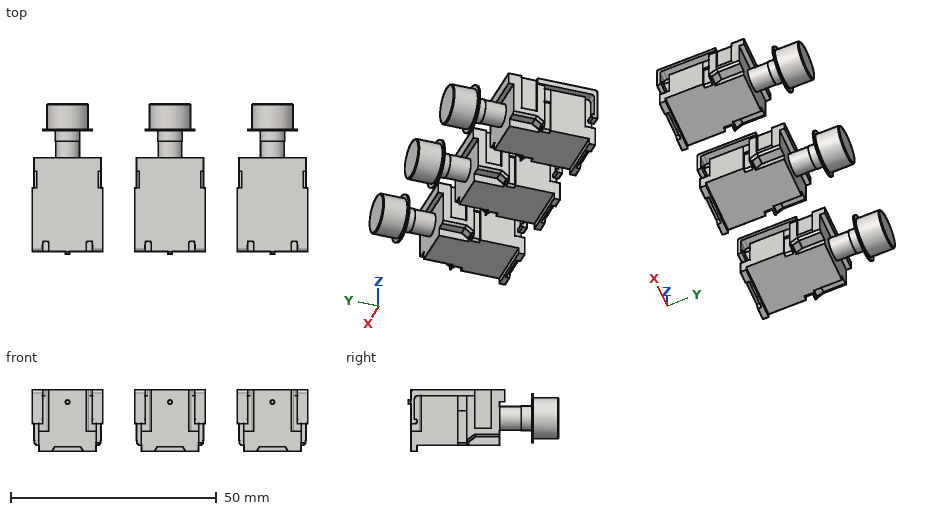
import cadquery as cq

TOTAL_LENGTH = 67.0
UNIT_COUNT = 3
UNIT_WIDTH = 17.2
UNIT_PITCH = (TOTAL_LENGTH - UNIT_WIDTH) / (UNIT_COUNT - 1)

TOP_Z = 15.0
PLATE_BOTTOM_Z = 13.55
BASE_Z = 1.5

PLATE_HALF = UNIT_WIDTH / 2
REAR_HALF = 8.2
BLOCK_HALF = 7.0
WEB_HALF = 4.55
KEEL_HALF = 5.35

BLOCK_FRONT_Y = 2.55
REAR_START_Y = 11.45
RIB_FRONT_Y = 13.55
RIB_BACK_Y = 14.1
PLATE_BACK_Y = 15.5
BODY_BACK_Y = 21.6
LIP_BACK_Y = 22.85

LEDGE_Z = 4.9
WEB_FILLET = 0.5

LIP_BOTTOM_Z = 12.05
SKIRT_Z = 3.55
SKIRT_SLOPE_BACK_Y = 15.75
SKIRT_SLOPE_FRONT_Z = 2.35
SKIRT_CHAMFER = 0.6
RIB_UNDERCUT = 0.4

NOTCH_STEP_Z = 9.9
NOTCH_UPPER_HALF = 6.9
NOTCH_FLOOR_HALF = 6.4

WINDOW_BACK_Y = 19.5
WINDOW_BOTTOM_Z = 5.55
WINDOW_DEPTH = 0.7

ARM_INNER_X = 6.0
ARM_BOTTOM_Z = 6.8
ARM_THICKNESS = 0.9
ARM_TOP_FILLET = 0.75
ARM_INNER_FILLET = 0.8
BEAD_TOP_Z = 7.85
BEAD_Y = 1.55
BEAD_MIDDLE_Z = 7.3
BEAD_BOTTOM_Y = 1.15
SLOT_CORNER_FILLET = 0.5

FOOT_DEPTH = 1.55
RECESS_BOTTOM_HALF = 3.8
RECESS_TOP_HALF = 3.15
RECESS_HEIGHT = 1.1
RECESS_DEPTH = 0.95

PIN_DIAMETER = 1.0
PIN_LENGTH = 0.6
PIN_Z = 12.0

BUTTON_Z = 8.05
SHAFT_DIAMETER = 5.8
COLLAR_DIAMETER = 6.0
FLANGE_DIAMETER = 12.0
CAP_DIAMETER = 10.05
COLLAR_START_Y = 26.9
FLANGE_START_Y = 29.35
CAP_START_Y = 29.75
CAP_END_Y = 35.9
CAP_CHAMFER = 0.3

SELECT_MARGIN = 0.1


def box(x0, x1, y0, y1, z0, z1):
    """Box between two opposite corners."""
    return cq.Workplane("XY").box(x1 - x0, y1 - y0, z1 - z0, centered=False).translate((x0, y0, z0))


def middle_box(half, y0, y1, z0, z1):
    """Box symmetric about X = 0."""
    return box(-half, half, y0, y1, z0, z1)


def both_sides(solid):
    """A feature together with its mirror image across X = 0."""
    return solid.union(solid.mirror("YZ"))


def cylinder(diameter, y0, y1, z):
    """Cylinder along Y."""
    return cq.Workplane("XZ", origin=(0, y0, z)).circle(diameter / 2).extrude(y0 - y1)


def rear_section():
    """Wide rear with a stepped underside, a chamfered skirt and a rear lip."""
    outline = [
        (REAR_START_Y, BASE_Z),
        (RIB_BACK_Y, BASE_Z),
        (RIB_BACK_Y, SKIRT_SLOPE_FRONT_Z),
        (SKIRT_SLOPE_BACK_Y, SKIRT_Z),
        (BODY_BACK_Y, SKIRT_Z),
        (BODY_BACK_Y, LIP_BOTTOM_Z),
        (LIP_BACK_Y, LIP_BOTTOM_Z),
        (LIP_BACK_Y, TOP_Z),
        (REAR_START_Y, TOP_Z),
    ]
    rear = cq.Workplane("YZ").polyline(outline).close().extrude(REAR_HALF, both=True)
    skirt_edges = cq.selectors.BoxSelector(
        (-2 * REAR_HALF, REAR_START_Y + SELECT_MARGIN, BASE_Z - SELECT_MARGIN),
        (2 * REAR_HALF, BODY_BACK_Y - SELECT_MARGIN, SKIRT_Z + SELECT_MARGIN),
    )
    rear = rear.faces("<X or >X").edges(skirt_edges).chamfer(SKIRT_CHAMFER)
    keel = middle_box(KEEL_HALF, REAR_START_Y, BODY_BACK_Y, BASE_Z, LIP_BOTTOM_Z)
    return rear.union(keel)


def side_notch():
    """Cut in front of the rib: a shallow upper part and a deeper lower part."""
    upper = box(NOTCH_UPPER_HALF, PLATE_HALF, REAR_START_Y, RIB_FRONT_Y, BASE_Z, PLATE_BOTTOM_Z)
    lower = box(NOTCH_FLOOR_HALF, PLATE_HALF, REAR_START_Y, RIB_FRONT_Y, BASE_Z, NOTCH_STEP_Z)
    floor_chamfer = (
        cq.Workplane("XZ", origin=(0, REAR_START_Y, 0))
        .moveTo(NOTCH_FLOOR_HALF, BASE_Z)
        .lineTo(NOTCH_FLOOR_HALF, BASE_Z + SKIRT_CHAMFER)
        .lineTo(NOTCH_FLOOR_HALF - SKIRT_CHAMFER, BASE_Z)
        .close()
        .extrude(REAR_START_Y - RIB_FRONT_Y)
    )
    return both_sides(upper.union(lower).union(floor_chamfer))


def rib_undercut():
    """Bevel under the front face of the +X rib."""
    return (
        cq.Workplane("YZ", origin=(NOTCH_FLOOR_HALF, 0, 0))
        .moveTo(RIB_FRONT_Y, BASE_Z)
        .lineTo(RIB_FRONT_Y + RIB_UNDERCUT, BASE_Z)
        .lineTo(RIB_FRONT_Y, BASE_Z + SKIRT_CHAMFER)
        .close()
        .extrude(PLATE_HALF - NOTCH_FLOOR_HALF)
    )


def side_windows():
    """Recesses in the sides of the rear section, open at the top."""
    floor_x = REAR_HALF - WINDOW_DEPTH
    return both_sides(box(floor_x, PLATE_HALF, PLATE_BACK_Y, WINDOW_BACK_Y, WINDOW_BOTTOM_Z, TOP_Z))


def front_block():
    """Front of the housing: main block, ledge and narrower web."""
    block = middle_box(BLOCK_HALF, 0, REAR_START_Y, BASE_Z, TOP_Z)
    pocket = box(WEB_HALF, BLOCK_HALF, 0, BLOCK_FRONT_Y, LEDGE_Z, TOP_Z)
    corner = cq.selectors.BoxSelector(
        (-WEB_HALF - SELECT_MARGIN, BLOCK_FRONT_Y - SELECT_MARGIN, LEDGE_Z),
        (WEB_HALF + SELECT_MARGIN, BLOCK_FRONT_Y + SELECT_MARGIN, TOP_Z),
    )
    return block.cut(both_sides(pocket)).edges("|Z").edges(corner).fillet(WEB_FILLET)


def plate_half():
    """Top plate on the +X side, bent down at the front into a clip arm with a bead."""
    plate = (
        cq.Workplane("YZ", origin=(ARM_INNER_X, 0, 0))
        .moveTo(PLATE_BACK_Y, TOP_Z)
        .lineTo(0, TOP_Z)
        .lineTo(0, ARM_BOTTOM_Z)
        .lineTo(BEAD_BOTTOM_Y, ARM_BOTTOM_Z)
        .threePointArc((BEAD_Y, BEAD_MIDDLE_Z), (ARM_THICKNESS, BEAD_TOP_Z))
        .lineTo(ARM_THICKNESS, PLATE_BOTTOM_Z)
        .lineTo(PLATE_BACK_Y, PLATE_BOTTOM_Z)
        .close()
        .extrude(PLATE_HALF - ARM_INNER_X)
    )
    top_edge = cq.selectors.NearestToPointSelector((PLATE_HALF, 0, TOP_Z))
    inner_edge = cq.selectors.NearestToPointSelector((PLATE_HALF, ARM_THICKNESS, PLATE_BOTTOM_Z))
    plate = plate.edges("|X").edges(top_edge).fillet(ARM_TOP_FILLET)
    plate = plate.edges("|X").edges(inner_edge).fillet(ARM_INNER_FILLET)
    return plate.union(slot_corner())


def slot_corner():
    """Rounded filling in the outer rear corner of the slot beside the arm."""
    radius = SLOT_CORNER_FILLET
    centre_x = ARM_INNER_X - radius
    centre_y = BLOCK_FRONT_Y - radius
    square = box(centre_x, ARM_INNER_X, centre_y, BLOCK_FRONT_Y, PLATE_BOTTOM_Z, TOP_Z)
    rounding = (
        cq.Workplane("XY", origin=(centre_x, centre_y, PLATE_BOTTOM_Z))
        .circle(radius)
        .extrude(TOP_Z - PLATE_BOTTOM_Z)
    )
    return square.cut(rounding)


def foot():
    """Foot under the front edge, with a trapezoid recess in its front."""
    bar = middle_box(BLOCK_HALF, 0, FOOT_DEPTH, 0, BASE_Z)
    recess = (
        cq.Workplane("XZ")
        .moveTo(-RECESS_BOTTOM_HALF, 0)
        .lineTo(-RECESS_TOP_HALF, RECESS_HEIGHT)
        .lineTo(RECESS_TOP_HALF, RECESS_HEIGHT)
        .lineTo(RECESS_BOTTOM_HALF, 0)
        .close()
        .extrude(-RECESS_DEPTH)
    )
    return bar.cut(recess)


def push_button():
    """Shaft, collar, flange and cap behind the housing."""
    cap = cylinder(CAP_DIAMETER, CAP_START_Y, CAP_END_Y, BUTTON_Z).faces(">Y").chamfer(CAP_CHAMFER)
    return (
        cylinder(SHAFT_DIAMETER, BODY_BACK_Y, COLLAR_START_Y, BUTTON_Z)
        .union(cylinder(COLLAR_DIAMETER, COLLAR_START_Y, FLANGE_START_Y, BUTTON_Z))
        .union(cylinder(FLANGE_DIAMETER, FLANGE_START_Y, CAP_START_Y, BUTTON_Z))
        .union(cap)
    )


def button_unit():
    """One complete unit as a single solid."""
    rear = rear_section().cut(side_notch()).cut(rib_undercut()).cut(side_windows())
    return (
        rear.union(front_block())
        .union(both_sides(plate_half()))
        .union(foot())
        .union(cylinder(PIN_DIAMETER, -PIN_LENGTH, 0, PIN_Z))
        .union(push_button())
    )


unit = button_unit()
units = []
for index in range(UNIT_COUNT):
    offset = (index - (UNIT_COUNT - 1) / 2) * UNIT_PITCH
    units.append(unit.translate((offset, 0, 0)).val())

result = cq.Compound.makeCompound(units)